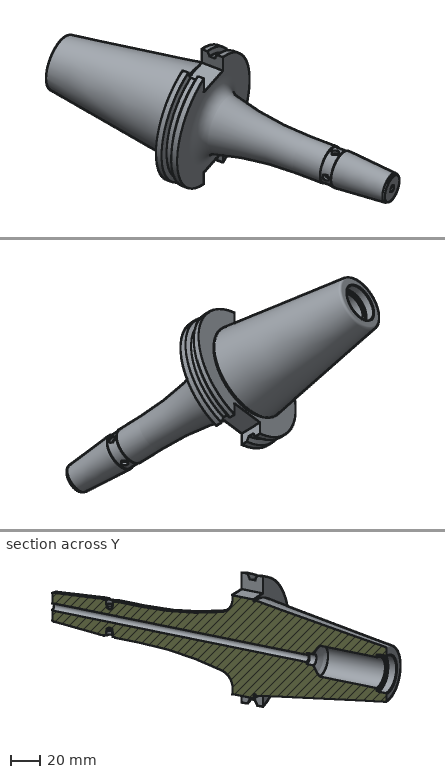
import cadquery as cq
import math

total_length = 261.5

gauge_diameter = 69.8
taper_length = 102.0
taper_ratio = 7 / 24
rear_rounding = 1.8
gauge_land = 1.0
relief_depth = 0.8

flange_start = 104.0
flange_width = 16.7
flange_end = flange_start + flange_width
flange_diameter = 98.4
groove_start = 108.5
groove_floor_start = 110.5
groove_floor_end = 114.3
groove_end = 116.2
groove_depth = 3.7
slot_width = 25.6
upper_slot_floor = 35.3
lower_slot_floor = 37.1

root_end = 129.2
root_end_radius = 21.5
neck_end = 191.5
neck_diameter = 27.0

band_start = 212.5
band_end = 221.0
band_diameter = 26.0
collar_end = 223.1
nose_diameter = 21.5
nose_chamfer = 1.5
nose_chamfer_radial = 0.8

bore_mouth_diameter = 27.7
bore_diameter = 27.0
bore_entry_depth = 6.5
bore_ring_diameter = 26.5
bore_ring_depth = 7.8
thread_diameter = 22.2
thread_depth = 52.3
cone_diameter = 18.0
cone_end_diameter = 7.8
pilot_length = 5.2
through_diameter = 5.0
cone_slope = math.tan(math.radians(60))

radial_hole_diameter = 5.0
radial_hole_depth = 3.1
radial_hole_core_diameter = 4.2
radial_hole_core_depth = 5.0
radial_hole_count = 4
drill_tip_angle = 118


def make_body():
    gauge_radius = gauge_diameter / 2
    rear_radius = gauge_radius - taper_length * taper_ratio / 2
    relief_radius = gauge_radius - relief_depth
    flange_radius = flange_diameter / 2
    groove_radius = flange_radius - groove_depth
    neck_radius = neck_diameter / 2
    band_radius = band_diameter / 2
    nose_radius = nose_diameter / 2

    flare_run = neck_end - root_end
    flare_drop = root_end_radius - neck_radius
    flare_radius = (flare_run**2 + flare_drop**2) / (2 * flare_drop)
    flare_angle = math.asin(flare_run / flare_radius)
    flare_middle = (
        neck_end - flare_radius * math.sin(flare_angle / 2),
        neck_radius + flare_radius * (1 - math.cos(flare_angle / 2)),
    )

    root_radius = (root_end - flange_end) / (1 - math.sin(flare_angle))
    root_centre_x = flange_end + root_radius
    root_centre_r = root_end_radius + root_radius * math.cos(flare_angle)
    root_middle_angle = (math.pi / 2 - flare_angle) / 2
    root_middle = (
        root_centre_x - root_radius * math.cos(root_middle_angle),
        root_centre_r - root_radius * math.sin(root_middle_angle),
    )

    body = (
        cq.Workplane("XY")
        .moveTo(0, 0)
        .lineTo(0, rear_radius)
        .lineTo(taper_length, gauge_radius)
        .lineTo(taper_length + gauge_land, gauge_radius)
        .lineTo(taper_length + gauge_land, relief_radius)
        .lineTo(flange_start, relief_radius)
        .lineTo(flange_start, flange_radius)
        .lineTo(groove_start, flange_radius)
        .lineTo(groove_floor_start, groove_radius)
        .lineTo(groove_floor_end, groove_radius)
        .lineTo(groove_end, flange_radius)
        .lineTo(flange_end, flange_radius)
        .lineTo(flange_end, root_centre_r)
        .threePointArc(root_middle, (root_end, root_end_radius))
        .threePointArc(flare_middle, (neck_end, neck_radius))
        .lineTo(band_start, neck_radius)
        .lineTo(band_start, band_radius)
        .lineTo(band_end, band_radius)
        .lineTo(band_end, neck_radius)
        .lineTo(collar_end, neck_radius)
        .lineTo(total_length - nose_chamfer, nose_radius)
        .lineTo(total_length, nose_radius - nose_chamfer_radial)
        .lineTo(total_length, 0)
        .close()
        .revolve(360, (0, 0, 0), (1, 0, 0))
    )
    return body.faces("<X").edges().fillet(rear_rounding)


def make_driving_slot(side, floor_height):
    height = flange_diameter / 2
    return (
        cq.Workplane("XY")
        .box(flange_width, slot_width, height, centered=(False, True, True))
        .translate((flange_start, 0, side * (floor_height + height / 2)))
    )


def make_bore():
    shoulder_end = thread_depth + (thread_diameter - cone_diameter) / 2
    cone_end = shoulder_end + (cone_diameter - cone_end_diameter) / 2 / cone_slope
    pilot_end = cone_end + pilot_length
    return (
        cq.Workplane("XY")
        .moveTo(0, 0)
        .lineTo(0, bore_mouth_diameter / 2)
        .lineTo((bore_mouth_diameter - bore_diameter) / 2, bore_diameter / 2)
        .lineTo(bore_entry_depth, bore_diameter / 2)
        .lineTo(bore_entry_depth, bore_ring_diameter / 2)
        .lineTo(bore_ring_depth, bore_ring_diameter / 2)
        .lineTo(bore_ring_depth, thread_diameter / 2)
        .lineTo(thread_depth, thread_diameter / 2)
        .lineTo(shoulder_end, cone_diameter / 2)
        .lineTo(cone_end, cone_end_diameter / 2)
        .lineTo(pilot_end, cone_end_diameter / 2)
        .lineTo(pilot_end, through_diameter / 2)
        .lineTo(total_length, through_diameter / 2)
        .lineTo(total_length, 0)
        .close()
        .revolve(360, (0, 0, 0), (1, 0, 0))
    )


def make_radial_hole(angle):
    hole_radius = radial_hole_diameter / 2
    hole_x = (band_start + band_end) / 2
    core_radius = radial_hole_core_diameter / 2
    step = band_diameter / 2 - radial_hole_depth
    core_floor = band_diameter / 2 - radial_hole_core_depth
    tip = core_floor - core_radius / math.tan(math.radians(drill_tip_angle / 2))
    return (
        cq.Workplane("XZ")
        .moveTo(0, tip)
        .lineTo(core_radius, core_floor)
        .lineTo(core_radius, step)
        .lineTo(hole_radius, step)
        .lineTo(hole_radius, neck_diameter)
        .lineTo(0, neck_diameter)
        .close()
        .revolve(360, (0, 0, 0), (0, 1, 0))
        .translate((hole_x, 0, 0))
        .rotate((0, 0, 0), (1, 0, 0), angle)
    )


result = make_body().cut(make_bore())
result = result.cut(make_driving_slot(1, upper_slot_floor))
result = result.cut(make_driving_slot(-1, lower_slot_floor))
for index in range(radial_hole_count):
    result = result.cut(make_radial_hole(index * 360 / radial_hole_count))